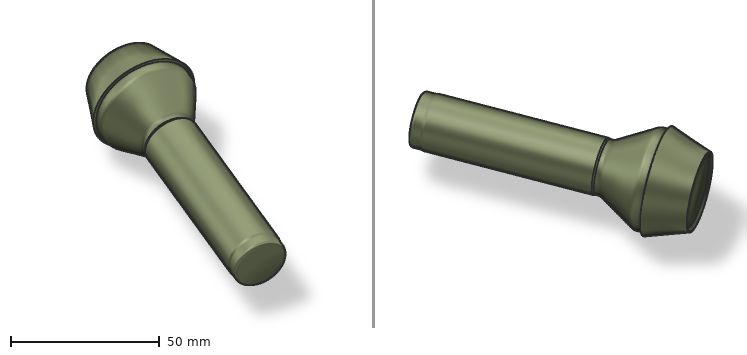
import cadquery as cq
import math

overall_length = 100.0

cap_length = 14.8
cap_front_diameter = 28.1
cap_rear_diameter = 38.4
rim_width = 0.4
recess_depth = 1.0
recess_floor_diameter = 25.2

collar_diameter = 36.0
neck_diameter = 19.5
shank_diameter = 20.0
cone_angle = math.radians(30)
blend_radius = 3.0
collar_end = 17.5
shank_start = 35.0
front_taper_length = 0.7
shank_end = 95.0
rear_taper_length = 0.9
end_fillet = 1.2


def revolve_about_x(profile):
    return profile.close().revolve(360, (0, 0, 0), (1, 0, 0))


def make_cap():
    mouth_diameter = cap_front_diameter - 2 * rim_width
    cap = revolve_about_x(
        cq.Workplane("XY")
        .lineTo(0, cap_front_diameter / 2)
        .lineTo(cap_length, cap_rear_diameter / 2)
        .lineTo(cap_length, 0)
    )
    recess = revolve_about_x(
        cq.Workplane("XY")
        .lineTo(0, mouth_diameter / 2)
        .lineTo(recess_depth, recess_floor_diameter / 2)
        .lineTo(recess_depth, 0)
    )
    return cap.cut(recess)


def make_stem():
    collar_radius = collar_diameter / 2
    neck_radius = neck_diameter / 2
    shank_radius = shank_diameter / 2

    blend_length = blend_radius * math.sin(cone_angle)
    blend_drop = blend_radius * (1 - math.cos(cone_angle))
    cone_drop = collar_radius - neck_radius - 2 * blend_drop
    cone_start = collar_end + blend_length
    cone_end = cone_start + cone_drop / math.tan(cone_angle)
    neck_start = cone_end + blend_length

    return revolve_about_x(
        cq.Workplane("XY")
        .moveTo(cap_length, 0)
        .lineTo(cap_length, collar_radius)
        .lineTo(collar_end, collar_radius)
        .radiusArc((cone_start, collar_radius - blend_drop), blend_radius)
        .lineTo(cone_end, neck_radius + blend_drop)
        .radiusArc((neck_start, neck_radius), -blend_radius)
        .lineTo(shank_start - front_taper_length, neck_radius)
        .lineTo(shank_start, shank_radius)
        .lineTo(shank_end, shank_radius)
        .lineTo(shank_end + rear_taper_length, neck_radius)
        .lineTo(overall_length - end_fillet, neck_radius)
        .radiusArc((overall_length, neck_radius - end_fillet), end_fillet)
        .lineTo(overall_length, 0)
    )


cap = make_cap()
stem = make_stem()

result = cq.Compound.makeCompound([cap.val(), stem.val()])